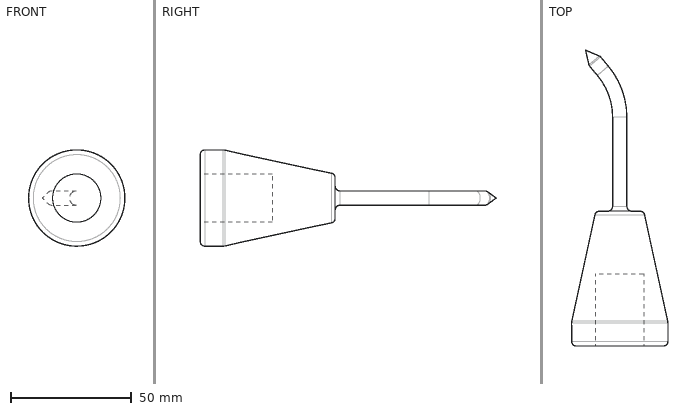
import cadquery as cq
import math

base_radius = 20.0
top_radius = base_radius / 2
collar_length = 10.0
handle_length = 56.0
edge_fillet = 2.0
shoulder_fillet = 4.0

bore_radius = base_radius / 2
bore_depth = 30.0

overall_length = 122.8
stem_diameter = 6.0
stem_radius = stem_diameter / 2
stem_bend_start = 95.0
bend_radius = 30.0
bend_angle = 40
cone_length = 5.9
cone_fillet = 1.2

pick_reach = 0.1

bend = math.radians(bend_angle)
bend_end_x = -bend_radius * (1 - math.cos(bend))
bend_end_y = stem_bend_start + bend_radius * math.sin(bend)
end_length = (overall_length - bend_end_y) / math.cos(bend)


def rings_at(y):
    """Selector for circular edges centred on the Y axis at the given height."""
    return cq.selectors.BoxSelector(
        (-pick_reach, y - pick_reach, -pick_reach),
        (pick_reach, y + pick_reach, pick_reach),
    )


def revolve_tapered(radius, straight_length, end_radius, length):
    """Solid of revolution about Y: a cylinder followed by a taper."""
    outline = [(0, 0), (radius, 0), (radius, straight_length), (end_radius, length)]
    if end_radius > 0:
        outline.append((0, length))
    return cq.Workplane("XY").polyline(outline).close().revolve(360, (0, 0, 0), (0, 1, 0))


def make_handle():
    """Collar and taper, with the shoulder and both ends rounded."""
    body = revolve_tapered(base_radius, collar_length, top_radius, handle_length)
    body = body.edges(rings_at(collar_length)).fillet(shoulder_fillet)
    return body.faces("<Y or >Y").edges().fillet(edge_fillet)


def make_stem():
    """Round rod along Y from inside the handle top, then swept round the bend."""
    root_y = handle_length - edge_fillet
    path = (
        cq.Workplane("XY")
        .moveTo(0, root_y)
        .lineTo(0, stem_bend_start)
        .tangentArcPoint((bend_end_x, bend_end_y), relative=False)
    )
    section = cq.Workplane("XZ", origin=(0, root_y, 0)).circle(stem_radius)
    return section.sweep(path)


def fillet_stem_root(part):
    """Blend the stem into the flat top of the handle."""
    smallest_ring = cq.selectors.RadiusNthSelector(0)
    return part.edges(rings_at(handle_length)).edges(smallest_ring).fillet(edge_fillet)


def make_point():
    """Straight end piece with a conical tip, leaning along the end of the bend."""
    cone_base_y = end_length - cone_length
    point = revolve_tapered(stem_radius, cone_base_y, 0, end_length)
    point = point.edges(rings_at(cone_base_y)).fillet(cone_fillet)
    point = point.rotate((0, 0, 0), (0, 0, 1), bend_angle)
    return point.translate((bend_end_x, bend_end_y, 0))


bore = cq.Workplane("XZ").circle(bore_radius).extrude(-bore_depth)

handle_and_stem = fillet_stem_root(make_handle().union(make_stem()))
result = handle_and_stem.union(make_point()).cut(bore)